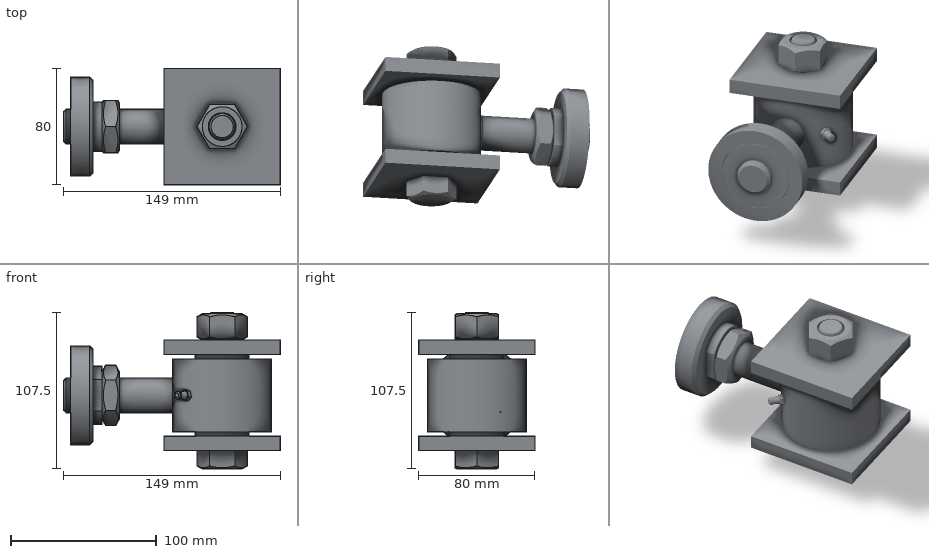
import cadquery as cq
import math


HOUSING_DIAMETER = 68.0
HOUSING_HEIGHT = 50.0
PLATE_SIDE = 80.0
PLATE_THICKNESS = 10.0
PLATE_GAP = 3.0
PIN_DIAMETER = 37.0
PLATE_INNER_Z = HOUSING_HEIGHT / 2 + PLATE_GAP
PLATE_OUTER_Z = PLATE_INNER_Z + PLATE_THICKNESS

BOLT_ACROSS_FLATS = 30.0
BOLT_HEAD_HEIGHT = 12.5
BOLT_NUT_HEIGHT = 18.0
BOLT_FACE_DIAMETER = 27.2
NUT_BORE_DIAMETER = 19.0
BOLT_DIAMETER = 18.0
BOLT_TIP_DIAMETER = 15.3
BOLT_TIP_PROTRUSION = 1.0
BOLT_TIP_LENGTH = 3.0
BOLT_TIP_CHAMFER = 2.8

ARM_DIAMETER = 24.0
ARM_SHOULDER = HOUSING_DIAMETER / 2
ARM_SPIGOT_DIAMETER = 18.0
ARM_END = 109.0
ARM_CHAMFER = 2.0
LOCKNUT_START = 70.5
LOCKNUT_HEIGHT = 12.0
LOCKNUT_ACROSS_FLATS = 36.0
LOCKNUT_FACE_DIAMETER = 32.6
HUB_START = LOCKNUT_START + LOCKNUT_HEIGHT
HUB_LENGTH = 6.0
HUB_DIAMETER = 40.2
HUB_ACROSS_FLATS = 34.0
DISC_START = HUB_START + HUB_LENGTH
DISC_DIAMETER = 68.0
DISC_THICKNESS = 15.5
DISC_CHAMFER = 2.4
GROOVE_OUTER_DIAMETER = 48.5
GROOVE_INNER_DIAMETER = 48.0
GROOVE_DEPTH = 5.0

NIPPLE_DIRECTION = 225.0
NIPPLE_HEX_ACROSS_FLATS = 7.0
NIPPLE_HEX_TURN = 15.0
NIPPLE_HEX_END = 36.5
NIPPLE_EMBED = 2.0
NIPPLE_ROOT = HOUSING_DIAMETER / 2 - NIPPLE_EMBED
NIPPLE_BODY_DIAMETER = 6.0
NIPPLE_NECK_DIAMETER = 4.6
NIPPLE_NECK_END = 41.5
NIPPLE_HEAD_DIAMETER = 5.4
NIPPLE_HEAD_START = 41.9
NIPPLE_HEAD_END = 43.3
NIPPLE_TIP_DIAMETER = 3.2
NIPPLE_END = 44.0

CHAMFER_SLOPE = math.tan(math.radians(30.0))


def cylinder(diameter, start, end):
    """Cylinder on the Z axis between two heights."""
    return cq.Workplane("XY").workplane(offset=start).circle(diameter / 2).extrude(end - start)


def hexagon(across_flats, start, end):
    """Hexagonal prism on the Z axis with two corners on the X axis."""
    across_corners = across_flats / math.cos(math.pi / 6)
    return cq.Workplane("XY").workplane(offset=start).polygon(6, across_corners).extrude(end - start)


def chamfered_hexagon(across_flats, face_diameter, start, end, chamfer_start=True, chamfer_end=True):
    """Hexagonal prism whose corners are cut by a cone at the chosen ends."""
    corner_radius = across_flats / math.cos(math.pi / 6) / 2
    radial_cut = corner_radius - face_diameter / 2
    drop = radial_cut * CHAMFER_SLOPE
    turned = cylinder(2 * corner_radius, start, end)
    if chamfer_start:
        turned = turned.faces("<Z").chamfer(drop, radial_cut)
    if chamfer_end:
        turned = turned.faces(">Z").chamfer(drop, radial_cut)
    return hexagon(across_flats, start, end).intersect(turned)


def along_arm(body):
    """Turn a body built on +Z so that it lies on -X; its X direction becomes Z."""
    return body.rotate((0, 0, 0), (0, 1, 0), -90)


def make_plate(bottom_z):
    """Square plate centred on the pivot axis."""
    plate = cq.Workplane("XY").box(PLATE_SIDE, PLATE_SIDE, PLATE_THICKNESS, centered=(True, True, False))
    return plate.translate((0, 0, bottom_z))


def make_pivot():
    """Round housing on its pin, between two square plates."""
    housing = cylinder(HOUSING_DIAMETER, -HOUSING_HEIGHT / 2, HOUSING_HEIGHT / 2)
    pin = cylinder(PIN_DIAMETER, -PLATE_INNER_Z, PLATE_INNER_Z)
    pivot = housing.union(pin)
    for bottom_z in (PLATE_INNER_Z, -PLATE_OUTER_Z):
        pivot = pivot.union(make_plate(bottom_z))
    return pivot


def make_bolt():
    """Head below, nut above, and the tapered bolt tip inside the open nut bore."""
    head = chamfered_hexagon(
        BOLT_ACROSS_FLATS, BOLT_FACE_DIAMETER,
        -PLATE_OUTER_Z - BOLT_HEAD_HEIGHT, -PLATE_OUTER_Z, chamfer_end=False,
    )
    nut_top = PLATE_OUTER_Z + BOLT_NUT_HEIGHT
    nut = chamfered_hexagon(BOLT_ACROSS_FLATS, BOLT_FACE_DIAMETER, PLATE_OUTER_Z, nut_top)
    tip_end = nut_top + BOLT_TIP_PROTRUSION
    tip_start = tip_end - BOLT_TIP_LENGTH
    nut = nut.cut(cylinder(NUT_BORE_DIAMETER, tip_start, nut_top))
    tip = cylinder(BOLT_DIAMETER, tip_start, tip_end)
    tip = tip.faces(">Z").chamfer(
        BOLT_TIP_CHAMFER, (BOLT_DIAMETER - BOLT_TIP_DIAMETER) / 2
    )
    return head.union(nut).union(tip)


def make_arm():
    """Rod with spigot, locknut, flatted hub and grooved disc."""
    rod = cylinder(ARM_DIAMETER, ARM_SHOULDER, ARM_END).faces(">Z").chamfer(ARM_CHAMFER)
    rod = rod.union(cylinder(ARM_SPIGOT_DIAMETER, 0, ARM_SHOULDER))

    locknut = chamfered_hexagon(LOCKNUT_ACROSS_FLATS, LOCKNUT_FACE_DIAMETER, LOCKNUT_START, HUB_START)

    flats = cq.Workplane("XY").box(HUB_DIAMETER, HUB_ACROSS_FLATS, 2 * ARM_END)
    hub = cylinder(HUB_DIAMETER, HUB_START, DISC_START).intersect(flats)

    disc_end = DISC_START + DISC_THICKNESS
    disc = cylinder(DISC_DIAMETER, DISC_START, disc_end).faces("<Z").chamfer(DISC_CHAMFER)
    groove = cylinder(GROOVE_OUTER_DIAMETER, disc_end - GROOVE_DEPTH, disc_end)
    groove = groove.cut(cylinder(GROOVE_INNER_DIAMETER, disc_end - GROOVE_DEPTH, disc_end))

    arm = rod.union(locknut).union(hub).union(disc.cut(groove))
    return along_arm(arm)


def make_nipple():
    """Grease nipple with a hexagonal base, a tapered body and a small head."""
    profile = [
        (0, NIPPLE_ROOT),
        (NIPPLE_BODY_DIAMETER / 2, NIPPLE_ROOT),
        (NIPPLE_BODY_DIAMETER / 2, NIPPLE_HEX_END),
        (NIPPLE_NECK_DIAMETER / 2, NIPPLE_NECK_END),
        (NIPPLE_HEAD_DIAMETER / 2, NIPPLE_HEAD_START),
        (NIPPLE_HEAD_DIAMETER / 2, NIPPLE_HEAD_END),
        (NIPPLE_TIP_DIAMETER / 2, NIPPLE_END),
        (0, NIPPLE_END),
    ]
    body = cq.Workplane("XZ").polyline(profile).close().revolve(360, (0, 0, 0), (0, 1, 0))
    base = hexagon(NIPPLE_HEX_ACROSS_FLATS, NIPPLE_ROOT, NIPPLE_HEX_END)
    base = base.rotate((0, 0, 0), (0, 0, 1), NIPPLE_HEX_TURN)
    nipple = along_arm(body.union(base))
    return nipple.rotate((0, 0, 0), (0, 0, 1), NIPPLE_DIRECTION - 180.0)


result = make_pivot().union(make_bolt()).union(make_arm()).union(make_nipple())